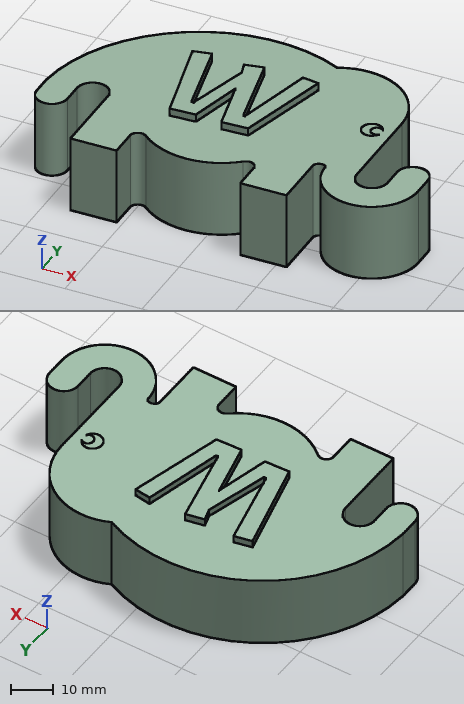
import cadquery as cq
import math

length = 99.05
thickness = 20.0
letter_height = 2.0
inlay_depth = 2.0

limb_width = 8.0
limb_radius = limb_width / 2
tip_low_y = 15.1
tip_high_y = 20.2

leg_width = 12.0
belly_gap = 32.1
throat_gap = 3.0
throat_radius = throat_gap / 2
throat_y = 14.2

hind_leg_left = 2 * limb_width
hind_leg_right = hind_leg_left + leg_width
front_leg_left = hind_leg_right + belly_gap
front_leg_right = front_leg_left + leg_width

belly_x = (hind_leg_right + front_leg_left) / 2
belly_low_y = 4.0
belly_end_y = 8.6
belly_half_width = 12.6
groin_start_y = 7.5
groin_top_y = 9.2
groin_top_offset = 1.9

trunk_inner_x = length - limb_width
face_x = trunk_inner_x - limb_width
bend_x = face_x + limb_radius
bend_outer_radius = limb_radius + limb_width

back_top = (40.6, 58.4)
nape = (58.9, 54.5)
head_radius = 16.6
head_centre = (face_x - head_radius, 39.4)

eye_centre = (77.9, 34.0)
eye_radius = 2.6
pupil_radius = 1.5
pupil_offset = 1.3

letter_outline = [
    (26.7, 43.4), (31.4, 44.4), (36.0, 23.8), (36.5, 23.8),
    (41.1, 40.1), (40.1, 43.4), (45.0, 44.4), (49.4, 23.8),
    (49.9, 23.8), (55.0, 44.4), (59.2, 43.8), (52.9, 19.2),
    (46.1, 18.9), (42.8, 33.3), (39.3, 19.2), (32.7, 18.9),
]


def make_eye():
    """Crescent inlay whose top is flush with the top of the elephant."""
    base = cq.Workplane("XY").workplane(offset=thickness - inlay_depth)
    eye = base.center(*eye_centre).circle(eye_radius).extrude(inlay_depth)
    pupil_x = eye_centre[0] + pupil_offset
    pupil = base.center(pupil_x, eye_centre[1]).circle(pupil_radius).extrude(inlay_depth)
    return eye.cut(pupil)


def make_elephant():
    """Elephant silhouette, traced counter-clockwise from the tail end."""
    diagonal = math.sqrt(0.5)
    head_mid = (head_centre[0] + head_radius * diagonal, head_centre[1] + head_radius * diagonal)
    outline = (
        cq.Workplane("XY")
        .moveTo(0, tip_low_y)
        .threePointArc((limb_radius, tip_low_y - limb_radius), (limb_width, tip_low_y))
        .lineTo(limb_width, tip_high_y)
        .threePointArc((limb_width + limb_radius, tip_high_y + limb_radius), (hind_leg_left, tip_high_y))
        .lineTo(hind_leg_left, 0)
        .lineTo(hind_leg_right, 0)
        .lineTo(hind_leg_right, groin_start_y)
        .threePointArc(
            (hind_leg_right + groin_top_offset, groin_top_y), (belly_x - belly_half_width, belly_end_y))
        .threePointArc((belly_x, belly_low_y), (belly_x + belly_half_width, belly_end_y))
        .threePointArc((front_leg_left - groin_top_offset, groin_top_y), (front_leg_left, groin_start_y))
        .lineTo(front_leg_left, 0)
        .lineTo(front_leg_right, 0)
        .lineTo(front_leg_right, throat_y)
        .threePointArc(
            (front_leg_right + throat_radius, throat_y + throat_radius),
            (bend_x - bend_outer_radius, tip_low_y))
        .threePointArc((bend_x, tip_low_y - bend_outer_radius), (length, tip_low_y))
        .lineTo(length, tip_high_y)
        .threePointArc((length - limb_radius, tip_high_y + limb_radius), (trunk_inner_x, tip_high_y))
        .lineTo(trunk_inner_x, tip_low_y)
        .threePointArc((bend_x, tip_low_y - limb_radius), (face_x, tip_low_y))
        .lineTo(face_x, head_centre[1])
        .threePointArc(head_mid, nape)
        .threePointArc(back_top, (0, tip_high_y))
        .close()
    )
    return outline.extrude(thickness)


def make_letter():
    """Raised letter standing on the top of the elephant."""
    base = cq.Workplane("XY").workplane(offset=thickness)
    return base.polyline(letter_outline).close().extrude(letter_height)


eye = make_eye()
elephant = make_elephant().cut(eye)
letter = make_letter()

result = cq.Compound.makeCompound([elephant.val(), eye.val(), letter.val()])